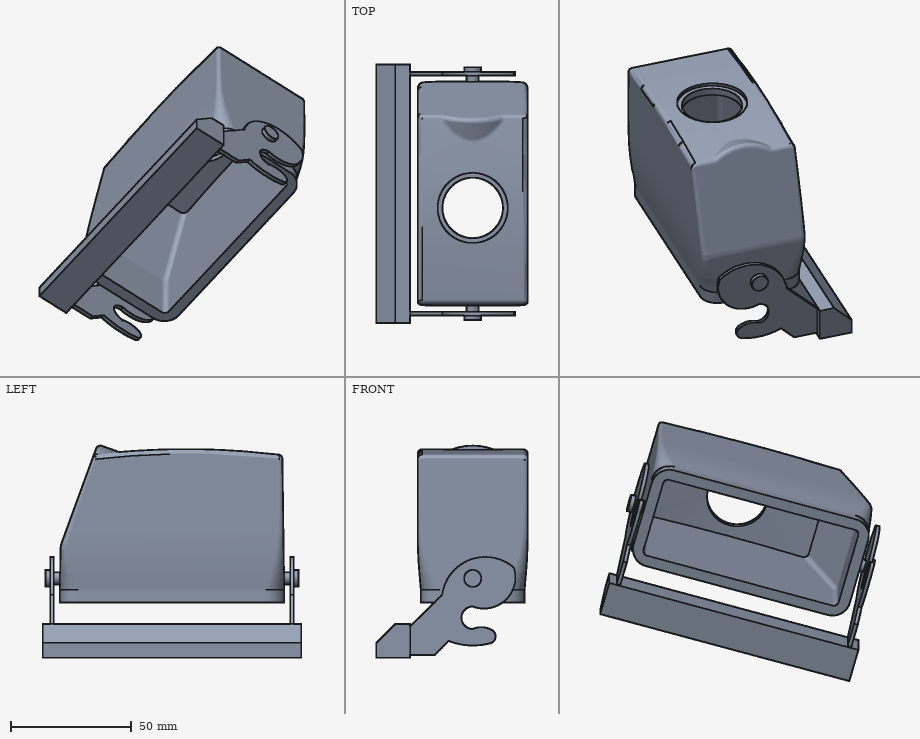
import cadquery as cq
import math


base_half_width = 21.5
top_half_width = 22.8
half_length = 46.4
band_height = 5.4
flare_line_height = 12.3
flare_top_height = 28.5
crown_y = -5.9
crown_height = 63.6
crown_radius = 325.3
roof_back_y = 32.3
roof_zone_height = 58.3
front_top_half_length = 45.7
slope_start_y = 46.1
slope_start_height = 23.5
slope_bend_radius = 7.5

base_corner_radius = 7.5
roof_edge_radius = 2.0
corner_stations = [
    (band_height, base_corner_radius),
    (flare_line_height, 5.0),
    (22.1, 2.5),
    (flare_top_height, 2.0),
    (58.8, 1.4),
]
wall = 4.5
cavity_corner_radius = 2.1
match_tolerance = 0.1
entry_diameter = 24.9
entry_recess_diameter = 29.0
entry_recess_depth = 1.5

bump_crest_height = 65.6
bump_radius = 22.5
bump_depth = 12.8
bump_height = 6.4
bump_edge_radius = 2.0
bump_crease_radius = 2.1

pivot_height = 10.1
pin_diameter = 5.1
pin_head_diameter = 7.1
pin_head_end = 52.3

bar_length = 107.0
bar_size = 14.0
bar_chamfer = 7.8
overall_width = 62.7
bar_left = top_half_width - overall_width
bar_bottom = -22.8
plate_outer_y = 50.4
plate_thickness = 1.6
plate_bottom = -21.6
arm_top_z = -9.7
head_back = (-12.6, 3.3)
head_top = (4.8, 18.9)
head_nose = (17.0, 14.5)
head_front = (14.0, 1.5)
notch_top = (0, -1.6)
notch_back = (-4.6, -6.2)
notch_bottom = (0, -10.8)
catch_top = (3.2, -10.1)
catch_tip_top = (7.7, -11.1)
catch_tip = (9.5, -13.9)
catch_tip_bottom = (6.8, -16.9)
catch_belly = (0.3, -17.8)
catch_root = (-10.0, -15.8)
arm_foot_x = -15.7


def roof_z(y):
    """Height of the crowned roof at length position y."""
    return crown_height - crown_radius + math.sqrt(crown_radius**2 - (y - crown_y)**2)


slope_angle = math.atan2(slope_start_y - roof_back_y, roof_z(roof_back_y) - slope_start_height)


def slope_y(z):
    """Y of the sloped face at height z."""
    return slope_start_y - (z - slope_start_height) * math.tan(slope_angle)


def side_outline(bottom):
    """Lengthwise outline of the housing, closed along the given bottom height."""
    bend_tangent = slope_bend_radius * math.tan(slope_angle / 2)
    bend_start_z = slope_start_height - bend_tangent

    def bend_point(angle):
        return (
            slope_start_y - slope_bend_radius * (1 - math.cos(angle)),
            bend_start_z + slope_bend_radius * math.sin(angle),
        )

    front_top = (-front_top_half_length, roof_z(-front_top_half_length))
    return (
        cq.Workplane("YZ")
        .moveTo(-half_length, bottom)
        .lineTo(half_length, bottom)
        .lineTo(*bend_point(0))
        .threePointArc(bend_point(slope_angle / 2), bend_point(slope_angle))
        .lineTo(roof_back_y, roof_z(roof_back_y))
        .threePointArc((crown_y, crown_height), front_top)
        .close()
    )


def flared_section():
    """Crosswise outline above the band: straight flare, tangent arc, vertical walls."""
    arc_height = flare_top_height - flare_line_height
    flare = top_half_width - base_half_width
    flare_slope = flare / (flare_line_height - band_height + arc_height / 2)
    flare_angle = math.atan(flare_slope)
    line_top_x = base_half_width + flare_slope * (flare_line_height - band_height)
    arc_radius = arc_height / math.sin(flare_angle)
    arc_mid_x = top_half_width - arc_radius * (1 - math.cos(flare_angle / 2))
    arc_mid_z = flare_top_height - arc_radius * math.sin(flare_angle / 2)
    above_roof = crown_height + wall
    return (
        cq.Workplane("XZ")
        .moveTo(-base_half_width, band_height)
        .lineTo(base_half_width, band_height)
        .lineTo(line_top_x, flare_line_height)
        .threePointArc((arc_mid_x, arc_mid_z), (top_half_width, flare_top_height))
        .lineTo(top_half_width, above_roof)
        .lineTo(-top_half_width, above_roof)
        .lineTo(-top_half_width, flare_top_height)
        .threePointArc((-arc_mid_x, arc_mid_z), (-line_top_x, flare_line_height))
        .close()
    )


def corner_radius(z):
    """Radius of the upright corners at height z, linear between the stations."""
    for (low_z, low_radius), (high_z, high_radius) in zip(corner_stations, corner_stations[1:]):
        if z <= high_z:
            return low_radius + (high_radius - low_radius) * (z - low_z) / (high_z - low_z)
    return corner_stations[-1][1]


def round_upright_corners(block):
    """Fillet the four upright corner chains with a radius that changes with height."""
    fillet = cq.occ_impl.shapes.BRepFilletAPI_MakeFillet(block.wrapped)
    for edge in block.Edges():
        low_end = min(edge.startPoint(), edge.endPoint(), key=lambda point: point.z)
        at_corner = (
            abs(abs(low_end.x) - base_half_width) < match_tolerance
            and abs(abs(low_end.y) - half_length) < match_tolerance
        )
        upright = edge.BoundingBox().zlen > match_tolerance
        if at_corner and upright:
            fillet.Add(edge.wrapped)
    for chain in range(1, fillet.NbContours() + 1):
        runs_up = cq.Vertex(fillet.FirstVertex(chain)).Z < flare_top_height
        for link in range(1, fillet.NbEdges(chain) + 1):
            box = cq.Edge(fillet.Edge(chain, link)).BoundingBox()
            radii = [corner_radius(box.zmin), corner_radius(box.zmax)]
            if not runs_up:
                radii.reverse()
            fillet.SetRadius(*radii, chain, link)
    return cq.Workplane(cq.Shape.cast(fillet.Shape()).Solids()[0])


def make_shell_block():
    """Solid outer shape of the housing."""
    reach = 2 * half_length
    upper = side_outline(band_height).extrude(reach, both=True)
    upper = upper.intersect(flared_section().extrude(reach, both=True))
    roof_edges = cq.selectors.BoxSelector(
        (-reach, -reach, roof_zone_height), (reach, reach, reach), boundingbox=True
    )
    upper = upper.edges(roof_edges).fillet(roof_edge_radius)
    upper = round_upright_corners(upper.val().Solids()[0])
    band = (
        cq.Workplane("XY")
        .rect(2 * base_half_width, 2 * half_length)
        .extrude(band_height)
        .edges("|Z")
        .fillet(base_corner_radius)
    )
    return band.union(upper)


def make_bump():
    """Finger bump: a cylinder segment running inward, square to the sloped face."""
    crest = (0, slope_y(bump_crest_height), bump_crest_height)
    outward = (0, math.cos(slope_angle), math.sin(slope_angle))
    face = cq.Plane(origin=crest, xDir=(-1, 0, 0), normal=outward)
    half_chord = math.sqrt(bump_radius**2 - (bump_radius - bump_height)**2)
    return (
        cq.Workplane(face)
        .moveTo(-half_chord, -bump_height)
        .threePointArc((0, 0), (half_chord, -bump_height))
        .close()
        .extrude(-bump_depth)
        .edges(cq.selectors.NearestToPointSelector(crest))
        .fillet(bump_edge_radius)
    )


def make_cavity():
    """Hollow inside the housing, open at the rim."""
    upright_corners = "(#X) and (not #Z)"
    return (
        side_outline(-wall)
        .offset2D(-wall)
        .extrude(base_half_width - wall, both=True)
        .edges(upright_corners)
        .fillet(cavity_corner_radius)
    )


def make_cable_entry():
    """Stepped bore through the roof: a shallow recess around the entry hole."""
    entry = (
        cq.Workplane("XY", origin=(0, crown_y, pivot_height))
        .circle(entry_diameter / 2)
        .extrude(crown_height)
    )
    recess = (
        cq.Workplane("XY", origin=(0, crown_y, crown_height - entry_recess_depth))
        .circle(entry_recess_diameter / 2)
        .extrude(crown_height)
    )
    return entry.union(recess)


def make_pin(side):
    """Headed pivot pin on the end wall at side = +1 or -1; the head lies outside the lever plate."""
    shank_start = half_length - wall / 2
    shank = (
        cq.Workplane("XZ", origin=(0, side * shank_start, pivot_height))
        .circle(pin_diameter / 2)
        .extrude(-side * (plate_outer_y - shank_start))
    )
    head = (
        cq.Workplane("XZ", origin=(0, side * plate_outer_y, pivot_height))
        .circle(pin_head_diameter / 2)
        .extrude(-side * (pin_head_end - plate_outer_y))
    )
    return shank.union(head)


def make_housing():
    """Hollow hood with its finger bump, cable entry and two pivot pins."""
    housing = make_shell_block().union(make_bump())
    crease = cq.selectors.BoxSelector(
        (-bump_radius, crown_y, roof_zone_height),
        (bump_radius, slope_y(crown_height) - bump_edge_radius / 2, crown_height),
        boundingbox=True,
    )
    housing = housing.edges(crease).fillet(bump_crease_radius)
    housing = housing.cut(make_cavity()).cut(make_cable_entry())
    for side in (1, -1):
        housing = housing.union(make_pin(side))
    return housing


def make_plate(side):
    """Lever side plate: rounded head on the pin, hooked catch below, arm to the bar."""
    bar_right = bar_left + bar_size
    outer_y = side * plate_outer_y
    plate = (
        cq.Workplane("XZ", origin=(0, outer_y, 0))
        .moveTo(bar_right, plate_bottom)
        .lineTo(bar_right, arm_top_z)
        .lineTo(*head_back)
        .threePointArc(head_top, head_nose)
        .threePointArc(head_front, notch_top)
        .threePointArc(notch_back, notch_bottom)
        .threePointArc(catch_top, catch_tip_top)
        .threePointArc(catch_tip, catch_tip_bottom)
        .threePointArc(catch_belly, catch_root)
        .lineTo(arm_foot_x, plate_bottom)
        .close()
        .extrude(side * plate_thickness)
    )
    pin_hole = (
        cq.Workplane("XZ", origin=(0, outer_y, pivot_height))
        .circle(pin_diameter / 2)
        .extrude(side * plate_thickness)
    )
    return plate.cut(pin_hole)


def make_lever():
    """Grip bar with a chamfered edge, joined to two side plates."""
    lever = (
        cq.Workplane("XZ")
        .moveTo(bar_left, bar_bottom)
        .lineTo(bar_left + bar_size, bar_bottom)
        .lineTo(bar_left + bar_size, bar_bottom + bar_size)
        .lineTo(bar_left + bar_chamfer, bar_bottom + bar_size)
        .lineTo(bar_left, bar_bottom + bar_size - bar_chamfer)
        .close()
        .extrude(bar_length / 2, both=True)
    )
    for side in (1, -1):
        lever = lever.union(make_plate(side))
    return lever


housing = make_housing()
lever = make_lever()
result = cq.Compound.makeCompound([housing.solids().val(), lever.solids().val()])